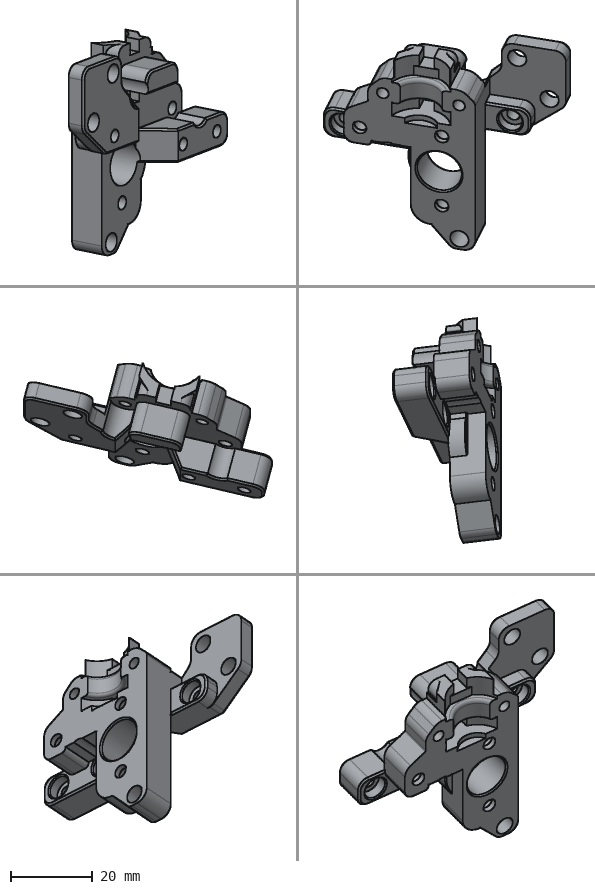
import cadquery as cq
import math


overall_width = 60.51
overall_height = 54.06

body_back = 9.0
strap_front = 8.6
arm_front = 13.0
part_back = 17.5
edge_chamfer = 0.5

body_right = -13.75
body_top = 25.0
body_bottom = -22.0
shoulder_left = 13.52
wing_left = 19.65
wing_bottom = 4.5
waist_z = 5.87
leg_left = 2.64
body_outline = [
    (body_right, body_bottom, 3.1),
    (body_right, 21.8, 1.6),
    (-10.55, body_top, 4.3),
    (10.03, body_top, 3.2),
    (shoulder_left, 21.5, 3.2),
    (shoulder_left, 17.4, 0.3),
    (wing_left, 13.9, 3.3),
    (wing_left, wing_bottom, 2.5),
    (12.65, wing_bottom, 1.2),
    (12.65, waist_z, 0),
    (leg_left, waist_z, 0),
    (leg_left, -15.98, 5.0),
    (-2.6, -15.98, 0),
    (-7.9, body_bottom, 2.4),
]

bore_y = -4.55
bore_diameter = 11.3
bore_chamfer = 0.4
boss_radius = 9.2
boss_front = body_back / 2
boss_chamfer = 0.3
boss_side = 3.55

socket_axis_x = -2.75
collar_radius = 8.0
neck_radius = 6.0
tip_radius = 5.0
tip_bottom = 12.74
collar_bottom = 14.2
neck_bottom = 18.07
neck_top = 24.08
neck_top_fillet = 1.0
neck_bottom_fillet = 0.8

lug_half_width = 7.2
lug_front = 1.05
lug_top = 29.9
saddle_front = 4.6
saddle_top = 26.8
slot_width = 3.8
crest_half_width = 6.75
crest_radius = 2.45
notch_front = 4.68

block_half_width = 6.75
block_bottom = 19.3
block_fillet = 3.0

arm_bottom = 8.05
arm_right = -33.1
arm_top = body_bottom + overall_height
arm_neck_y = -16.75
arm_root_top = 17.95
arm_slope_sum = 7.3
arm_root_outline = [
    (body_right, arm_bottom, 0),
    (0, arm_bottom, 0),
    (0, arm_root_top, 0),
    (arm_slope_sum - arm_root_top, arm_root_top, 0),
    (body_right, arm_slope_sum - body_right, 0),
]
arm_outline = [
    (0, arm_bottom, 0),
    (0, arm_root_top, 0),
    (arm_slope_sum - arm_root_top, arm_root_top, 0),
    (arm_neck_y, arm_slope_sum - arm_neck_y, 3.5),
    (arm_neck_y, arm_top, 3.1),
    (arm_right, arm_top, 2.8),
    (arm_right, 16.15, 3.15),
    (-23.56, arm_bottom, 2.0),
]
pad_right = -25.2
pad_left = -8.0
pad_top = 16.07
pad_radius = 3.0
gusset_slope = 0.69
arm_gusset_y = -4.1

strap_left = arm_right + overall_width
strap_bottom = -1.05
strap_top = 7.53
strap_radius = 2.9
strap_gusset_y = 0.5

corner_holes = [(9.74, 20.48), (-9.65, 20.48)]
corner_hole_diameter = 3.0
corner_clearance_radius = 3.5
screw_holes = [(15.66, 9.24), (-5.25, 10.47), (-5.25, -9.95)]
screw_entry_diameter = 3.5
screw_hole_diameter = 3.4
screw_entry_depth = 1.5
screw_clearance_radius = 3.0
large_holes = [(-9.74, -18.93), (-20.7, 28.04), (-28.9, 17.48)]
large_hole_diameter = 4.7
strap_holes = [(22.49, 3.2), (8.5, 3.2)]
pad_holes = [(-20.03, 12.0)]
counterbored_diameter = 3.25
counterbore_diameter = 6.0
counterbore_depth = 3.0
counterbore_chamfer = 0.35


def rounded_outline(corners, plane):
    """Closed wire through (u, v, radius) corners; every radius becomes a tangent arc."""
    path = None
    count = len(corners)
    for i, (u, v, radius) in enumerate(corners):
        corner = cq.Vector(u, v)
        before = (cq.Vector(*corners[i - 1][:2]) - corner).normalized()
        after = (cq.Vector(*corners[(i + 1) % count][:2]) - corner).normalized()
        half_angle = before.getAngle(after) / 2
        setback = radius / math.tan(half_angle)
        start = corner + before * setback
        end = corner + after * setback
        inward = (before + after).normalized()
        middle = corner + inward * (radius / math.sin(half_angle) - radius)
        path = plane.moveTo(start.x, start.y) if path is None else path.lineTo(start.x, start.y)
        if radius > 0:
            path = path.threePointArc((middle.x, middle.y), (end.x, end.y))
    return path.close()


def slab(corners, x_start, x_end):
    plane = cq.Workplane("YZ", origin=(x_start, 0, 0))
    return rounded_outline(corners, plane).extrude(x_end - x_start)


def box(x_range, y_range, z_range):
    size = [high - low for low, high in (x_range, y_range, z_range)]
    return cq.Workplane("XY").box(*size, centered=False).translate((x_range[0], y_range[0], z_range[0]))


def rods(centres, radius, x_start, x_end):
    plane = cq.Workplane("YZ", origin=(x_start, 0, 0))
    return plane.pushPoints(centres).circle(radius).extrude(x_end - x_start)


def behind_gusset(y_at_body, direction):
    """Prism along Z on the `direction` side of a slanted plane through (body_back, y_at_body)."""
    reach = overall_width
    margin = 1.0
    x_start = body_back - margin
    x_end = part_back + margin
    y_start = y_at_body - direction * gusset_slope * margin
    y_end = y_start + direction * gusset_slope * (x_end - x_start)
    far = direction * reach
    points = [(x_start, y_start), (x_end, y_end), (x_end, far), (x_start, far)]
    return cq.Workplane("XY", origin=(0, 0, -reach)).polyline(points).close().extrude(2 * reach)


def gusset_edges(direction):
    return cq.selectors.ParallelDirSelector(cq.Vector(1, direction * gusset_slope, 0))


def make_body():
    body = slab(body_outline, 0, body_back)
    disc = rods([(bore_y, 0)], boss_radius, boss_front, body_back)
    web = box((boss_front, body_back), (bore_y, boss_side), (0, boss_radius))
    boss = disc.union(web).faces("<X").chamfer(boss_chamfer)
    exposed_side = box((0, body_back), (bore_y, leg_left + boss_radius), (-boss_radius, waist_z))
    return body.union(boss.intersect(exposed_side))


def make_lugs():
    lugs = box((lug_front, body_back), (-lug_half_width, lug_half_width), (body_top, lug_top))
    crest = slab(
        [
            (-crest_half_width, saddle_top, 0),
            (-crest_half_width, lug_top, crest_radius),
            (crest_half_width, lug_top, crest_radius),
            (crest_half_width, saddle_top, 0),
        ],
        0,
        body_back,
    )
    for side in (-1, 1):
        notch = (
            cq.Workplane("XY", origin=(0, 0, saddle_top))
            .moveTo(notch_front, side * lug_half_width)
            .lineTo(notch_front + lug_half_width, 0)
            .lineTo(part_back, 0)
            .lineTo(part_back, side * lug_half_width)
            .close()
            .extrude(lug_top - saddle_top)
        )
        lugs = lugs.cut(notch.cut(crest))
    return lugs


def make_socket():
    profile = (
        cq.Workplane("XZ")
        .moveTo(0, tip_bottom)
        .lineTo(tip_radius, tip_bottom)
        .lineTo(tip_radius, collar_bottom)
        .lineTo(collar_radius, collar_bottom)
        .lineTo(collar_radius, neck_bottom)
        .lineTo(neck_radius + neck_bottom_fillet, neck_bottom)
        .radiusArc((neck_radius, neck_bottom + neck_bottom_fillet), neck_bottom_fillet)
        .lineTo(neck_radius, neck_top - neck_top_fillet)
        .radiusArc((neck_radius + neck_top_fillet, neck_top), neck_top_fillet)
        .lineTo(collar_radius, neck_top)
        .lineTo(collar_radius, lug_top)
        .lineTo(0, lug_top)
        .close()
    )
    return profile.revolve(360, (0, 0), (0, 1)).translate((socket_axis_x, 0, 0))


def make_saddle():
    return box((saddle_front, body_back), (-crest_half_width, crest_half_width), (neck_top, saddle_top))


def make_slots():
    half = slot_width / 2
    upper = box((0, part_back), (-half, half), (saddle_top, lug_top))
    lower = box((0, part_back), (-half, half), (collar_bottom, neck_bottom))
    return upper.union(lower)


def corner_scoops():
    """Screw-head clearance behind the body at the two upper corner holes."""
    return rods(corner_holes, corner_clearance_radius, body_back, part_back)


def make_rear_block():
    corners = [
        (-block_half_width, block_bottom, 0),
        (-block_half_width, body_top, block_fillet),
        (block_half_width, body_top, block_fillet),
        (block_half_width, block_bottom, 0),
    ]
    block = slab(corners, body_back, part_back).faces(">X").chamfer(edge_chamfer)
    return block.cut(corner_scoops())


def make_arm():
    scoops = corner_scoops()
    plate = slab(arm_outline, arm_front, part_back).cut(scoops).faces(">X").chamfer(edge_chamfer)
    root = slab(arm_root_outline, body_back, arm_front).cut(scoops)
    arm = plate.union(root).intersect(behind_gusset(arm_gusset_y, -1))
    rim = arm.edges(gusset_edges(-1)).add(arm.edges("%ELLIPSE"))
    arm = arm.newObject(rim.vals()).chamfer(edge_chamfer)
    pad_corners = [
        (pad_left, arm_bottom, 0),
        (pad_left, pad_top, 0),
        (pad_right, pad_top, pad_radius),
        (pad_right, arm_bottom, pad_radius),
    ]
    pad = slab(pad_corners, body_back, arm_front).faces("<X").chamfer(edge_chamfer)
    return arm.union(pad)


def make_strap():
    corners = [
        (bore_y, strap_bottom, 0),
        (bore_y, strap_top, 0),
        (strap_left, strap_top, strap_radius),
        (strap_left, strap_bottom, strap_radius),
    ]
    strap = slab(corners, strap_front, part_back).faces("<X").chamfer(edge_chamfer)
    strap = strap.cut(rods(screw_holes[:1], screw_clearance_radius, body_back, part_back))
    strap = strap.faces(">X").chamfer(edge_chamfer)
    strap = strap.intersect(behind_gusset(strap_gusset_y, 1))
    return strap.edges(gusset_edges(1)).chamfer(edge_chamfer)


def countersink(centre, hole_radius, face_x, depth):
    """45 degree cone that breaks the edge of a hole entering at face_x."""
    y, z = centre
    start = cq.Vector(face_x, y, z)
    return cq.Workplane(cq.Solid.makeCone(hole_radius + depth, hole_radius, depth, start, cq.Vector(1, 0, 0)))


def counterbored(centres, face_x):
    holes = rods(centres, counterbored_diameter / 2, face_x, part_back)
    holes = holes.union(rods(centres, counterbore_diameter / 2, face_x, face_x + counterbore_depth))
    for centre in centres:
        holes = holes.union(countersink(centre, counterbore_diameter / 2, face_x, counterbore_chamfer))
    return holes


def drill_holes(part):
    part = part.cut(rods(corner_holes, corner_hole_diameter / 2, 0, part_back))
    part = part.cut(rods(large_holes, large_hole_diameter / 2, 0, part_back))
    part = part.cut(rods(screw_holes, screw_hole_diameter / 2, 0, part_back))
    part = part.cut(rods(screw_holes, screw_entry_diameter / 2, 0, screw_entry_depth))
    part = part.cut(rods(screw_holes, screw_clearance_radius, body_back, part_back))
    part = part.cut(rods(strap_holes, counterbore_diameter / 2, 0, strap_front))
    return part.cut(counterbored(strap_holes, strap_front)).cut(counterbored(pad_holes, body_back))


def make_bore():
    bore = rods([(bore_y, 0)], bore_diameter / 2, 0, part_back)
    return bore.union(countersink((bore_y, 0), bore_diameter / 2, 0, bore_chamfer))


part = make_body().union(make_lugs()).cut(make_socket()).union(make_saddle())
part = part.union(make_rear_block()).union(make_arm()).union(make_strap())
part = drill_holes(part.cut(make_slots()))
result = part.cut(make_bore())